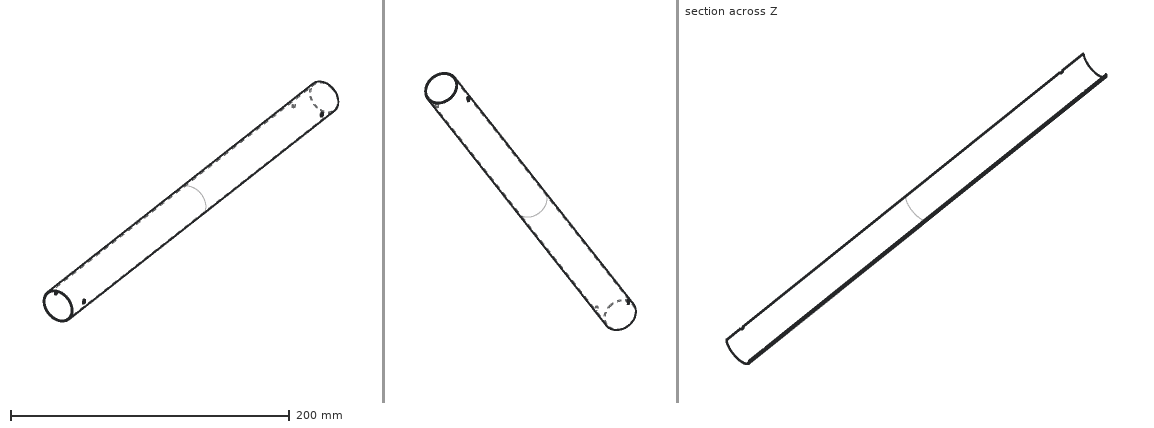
import cadquery as cq

length = 352.5
outer_diameter = 25.0
wall = 1.0
hole_diameter = 3.0
back_hole_offset = 22.0
front_hole_offset = 15.0

inner_diameter = outer_diameter - 2 * wall

tube = (
    cq.Workplane("XZ")
    .circle(outer_diameter / 2)
    .circle(inner_diameter / 2)
    .extrude(length / 2, both=True)
)

hole_positions = [
    (length / 2 - back_hole_offset, 0),
    (-length / 2 + front_hole_offset, 0),
]
holes = (
    cq.Workplane("YZ")
    .pushPoints(hole_positions)
    .circle(hole_diameter / 2)
    .extrude(outer_diameter, both=True)
)

result = tube.cut(holes)